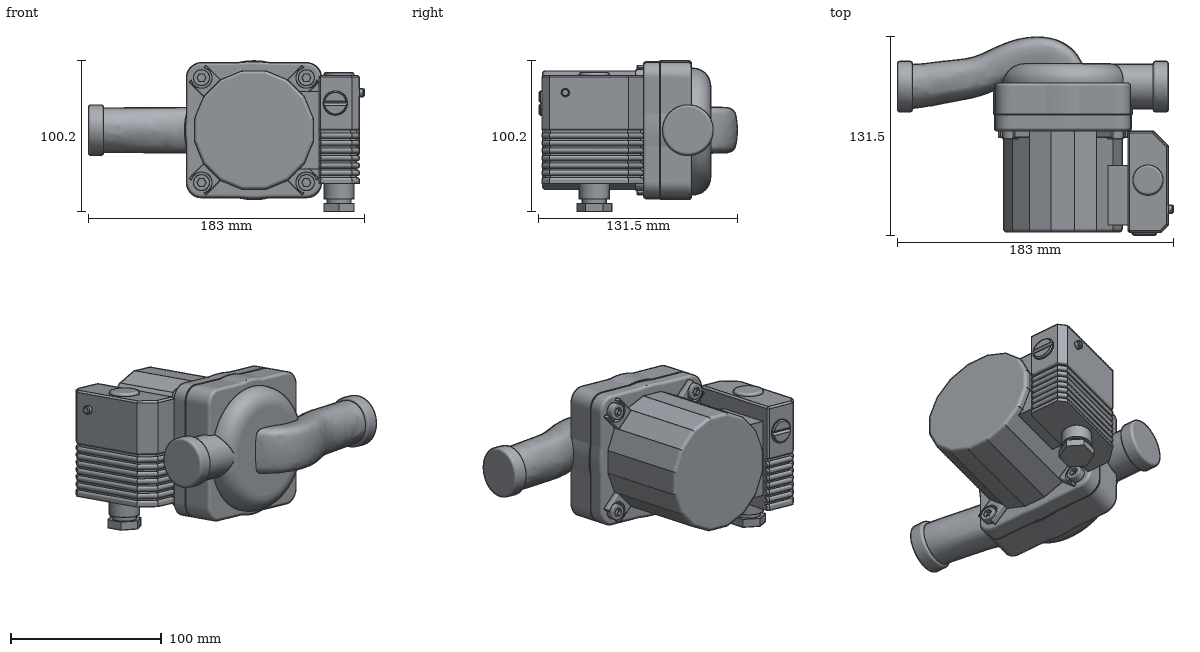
import cadquery as cq
import math


CASING_SIDE = 89.7
CASING_CORNER_RADIUS = 10.0
BULGE_HALF_WIDTH = 10.6
HOUSING_BULGE_HEIGHT = 1.3
FLANGE_BULGE_HEIGHT = 0.7
CASING_BACK_Y = 2.4
SPLIT_Y = -18.5
FLANGE_FACE_Y = -29.5
CASING_FILLET = 2.0
SPLIT_CHAMFER = 0.4

VOLUTE_RADIUS = 42.0
VOLUTE_X = 0.5
VOLUTE_Z = -1.0
VOLUTE_TOP_Y = 15.2
VOLUTE_FILLET = 11.9

INLET_END_X = -109.8
OUTLET_END_X = 69.9
COLLAR_RADIUS = 16.8
COLLAR_LENGTH = 10.0
COLLAR_FILLET = 1.8
PIPE_RADIUS = 14.8
ELBOW_HALF_WIDTH = 10.0
ELBOW_HALF_HEIGHT = 15.4
ROUND_EXPONENT = 2
ELBOW_EXPONENT = 5
SECTION_POINTS = 24
INLET_CURVE = [(-76.9, 3.3), (-54.9, 7.5), (-35.9, 16.7), (-17.0, 21.6), (-1.8, 17.4), (4.2, 9.2)]
INLET_CURVE_END = (5.9, 0.0)

MOTOR_SIDES = 16
MOTOR_ACROSS_FLATS = 78.7
MOTOR_FRONT_Y = -96.5
MOTOR_FILLET = 2.2
MOTOR_FACET_WIDTH = MOTOR_ACROSS_FLATS * math.tan(math.pi / MOTOR_SIDES)

BRIDGE_START_X = 29.3
BRIDGE_BACK_Y = -52.2
BRIDGE_FRONT_Y = -91.9
BRIDGE_HEIGHT = 51.2

HEX_SIDES = 6

BOLT_OFFSET = CASING_SIDE / 2 - CASING_CORNER_RADIUS
LUG_FACE_Y = -33.7
LUG_FILLET = 1.0
LUG_REACH_PAST_BOLT = 3.7
LUG_END_RADIUS = BOLT_OFFSET * math.sqrt(2) + LUG_REACH_PAST_BOLT
LUG_POCKET_RADIUS = 7.0
BOLT_HEAD_RADIUS = 5.3
BOLT_FACE_Y = -34.5
BOLT_FILLET = 0.5
BOLT_SOCKET_DIAMETER = 6.0
BOLT_SOCKET_DEPTH = 2.7

BOX_LEFT_X = 43.0
BOX_RIGHT_X = 69.9
BOX_BACK_Y = FLANGE_FACE_Y
BOX_FRONT_Y = -96.8
BOX_TOP_Z = 36.5
BOX_BOTTOM_Z = -35.3
BOX_BACK_BEVEL = 9.9
BOX_FRONT_BEVEL = 5.0
BOX_EDGE_CHAMFER = 1.3
BOX_LOWER_FILLET = 1.3

FIN_ZONE_TOP_Z = 0.0
FIN_DEPTH = 2.0
FIN_COUNT = 6
FIN_PITCH = 5.0
FIRST_FIN_Z = -3.7
FIN_THICKNESS = 3.7
FIN_FILLET = 1.6
BOX_FLOOR_THICKNESS = 3.8

KNOB_X = 54.0
KNOB_Z = 18.0
KNOB_RADIUS = 8.0
KNOB_HEIGHT = 1.8
KNOB_CHAMFER = 1.0
KNOB_SLOT_WIDTH = 3.0
KNOB_SLOT_DEPTH = 1.5

ENTRY_X = 56.4
ENTRY_Y = -62.0
ENTRY_RADIUS = 10.0
CAP_HEIGHT = 1.8
CAP_FILLET = 1.6
SLEEVE_BOTTOM_Z = -45.5
NECK_RADIUS = 8.0
NUT_TOP_Z = -48.5
NUT_BOTTOM_Z = -54.0
NUT_ACROSS_FLATS = 2 * ENTRY_RADIUS

SCREW_Y = -81.3
SCREW_Z = 24.9
SCREW_RADIUS = 2.7
SCREW_END_X = 73.2
SCREW_CHAMFER = 0.7


def disc(x, z, radius, back_y, front_y):
    """Round boss along the motor axis."""
    return cq.Workplane("XZ", origin=(x, back_y, z)).circle(radius).extrude(back_y - front_y)


def casing_block(bulge_height, back_y, front_y):
    """Square block with rounded corners and a shallow arched bulge on each side."""
    half_side = CASING_SIDE / 2
    depth = back_y - front_y
    block = cq.Workplane("XZ", origin=(0, back_y, 0)).rect(CASING_SIDE, CASING_SIDE).extrude(depth)
    block = block.edges("|Y").fillet(CASING_CORNER_RADIUS)
    bulge = (
        cq.Workplane("XZ", origin=(0, back_y, 0))
        .moveTo(-BULGE_HALF_WIDTH, half_side)
        .threePointArc((0, half_side + bulge_height), (BULGE_HALF_WIDTH, half_side))
        .lineTo(0, 0)
        .close()
        .extrude(depth)
    )
    for quarter_turns in range(4):
        block = block.union(bulge.rotate((0, 0, 0), (0, 1, 0), 90 * quarter_turns))
    return block


def collar(end_x, inward):
    """Closed pipe-end collar that runs from end_x in the inward direction along X."""
    return (
        cq.Workplane("YZ", origin=(end_x, 0, 0))
        .circle(COLLAR_RADIUS)
        .extrude(inward * COLLAR_LENGTH)
        .edges()
        .fillet(COLLAR_FILLET)
    )


def pipe_section(plane, half_width, half_height, exponent):
    """Closed superellipse; an exponent of 2 is a plain ellipse and higher ones square it off."""
    points = []
    for i in range(SECTION_POINTS):
        angle = 2 * math.pi * i / SECTION_POINTS - math.pi / 2
        across, up = math.cos(angle), math.sin(angle)
        radius = (abs(across) ** exponent + abs(up) ** exponent) ** (-1 / exponent)
        points.append((half_width * radius * across, half_height * radius * up))
    return cq.Workplane(plane).spline(points, periodic=True).wire().val()


def inlet_pipe():
    """Curved pipe over the volute, round at the collar and a flattened squarish oval at the eye."""
    start_x = INLET_END_X + COLLAR_LENGTH / 2
    path = cq.Workplane("XY").spline(
        [(start_x, 0), *INLET_CURVE, INLET_CURVE_END], tangents=[(1, 0), (0, -1)]
    )
    start_plane = cq.Plane(origin=(start_x, 0, 0), xDir=(0, 1, 0), normal=(1, 0, 0))
    end_plane = cq.Plane(origin=(*INLET_CURVE_END, 0), xDir=(1, 0, 0), normal=(0, -1, 0))
    round_end = pipe_section(start_plane, PIPE_RADIUS, PIPE_RADIUS, ROUND_EXPONENT)
    oval_end = pipe_section(end_plane, ELBOW_HALF_WIDTH, ELBOW_HALF_HEIGHT, ELBOW_EXPONENT)
    sections = cq.Workplane("XY").newObject([round_end, oval_end]).toPending()
    return sections.sweep(path, multisection=True)


def make_housing():
    """Casing with the volute dome, both pipes and their collars."""
    casing = casing_block(HOUSING_BULGE_HEIGHT, CASING_BACK_Y, SPLIT_Y)
    casing = casing.faces(">Y").edges().fillet(CASING_FILLET)
    casing = casing.faces("<Y").edges().chamfer(SPLIT_CHAMFER)
    volute = disc(VOLUTE_X, VOLUTE_Z, VOLUTE_RADIUS, VOLUTE_TOP_Y, SPLIT_Y)
    volute = volute.faces(">Y").edges().fillet(VOLUTE_FILLET)
    outlet_pipe = cq.Workplane("YZ").circle(PIPE_RADIUS).extrude(OUTLET_END_X - COLLAR_LENGTH / 2)
    housing = casing.union(volute).union(outlet_pipe).union(inlet_pipe())
    return housing.union(collar(INLET_END_X, 1)).union(collar(OUTLET_END_X, -1))


def corner_lugs():
    """Raised strips along the four diagonals, each with an open pocket for a bolt head."""
    strip = (
        cq.Workplane("XZ", origin=(0, FLANGE_FACE_Y, 0))
        .rect(2 * LUG_END_RADIUS, MOTOR_FACET_WIDTH)
        .extrude(FLANGE_FACE_Y - LUG_FACE_Y)
        .faces("<Y")
        .edges("|X")
        .fillet(LUG_FILLET)
    )
    axis_start, axis_end = (0, 0, 0), (0, 1, 0)
    lugs = strip.rotate(axis_start, axis_end, 45).union(strip.rotate(axis_start, axis_end, -45))
    for x, z in bolt_places():
        lugs = lugs.cut(disc(x, z, LUG_POCKET_RADIUS, FLANGE_FACE_Y, LUG_FACE_Y))
    return lugs


def make_motor():
    """Flange with its corner lugs, and the many-sided motor barrel."""
    flange = casing_block(FLANGE_BULGE_HEIGHT, SPLIT_Y, FLANGE_FACE_Y)
    flange = flange.faces("<Y").edges().fillet(CASING_FILLET)
    flange = flange.faces(">Y").edges().chamfer(SPLIT_CHAMFER)
    across_corners = MOTOR_ACROSS_FLATS / math.cos(math.pi / MOTOR_SIDES)
    barrel = (
        cq.Workplane("XZ", origin=(0, FLANGE_FACE_Y, 0))
        .transformed(rotate=(0, 0, 180 / MOTOR_SIDES))
        .polygon(MOTOR_SIDES, across_corners)
        .extrude(FLANGE_FACE_Y - MOTOR_FRONT_Y)
        .faces("<Y")
        .edges()
        .fillet(MOTOR_FILLET)
    )
    return flange.union(corner_lugs()).union(barrel)


def bolt_places():
    """X and Z of the four bolts, on the centres of the casing corner rounds."""
    return [(sx * BOLT_OFFSET, sz * BOLT_OFFSET) for sx in (-1, 1) for sz in (-1, 1)]


def make_bolt(x, z):
    """Socket-head bolt seated on the flange face."""
    head = disc(x, z, BOLT_HEAD_RADIUS, FLANGE_FACE_Y, BOLT_FACE_Y)
    head = head.faces("<Y").edges().fillet(BOLT_FILLET)
    socket = (
        cq.Workplane("XZ", origin=(x, BOLT_FACE_Y + BOLT_SOCKET_DEPTH, z))
        .polygon(HEX_SIDES, BOLT_SOCKET_DIAMETER)
        .extrude(BOLT_SOCKET_DEPTH)
    )
    return head.cut(socket)


def box_slab(inset, bottom_z, top_z):
    """Slab with the bevelled box outline, inset on every side but the one facing the motor."""
    left, right = BOX_LEFT_X, BOX_RIGHT_X - inset
    back, front = BOX_BACK_Y - inset, BOX_FRONT_Y + inset
    leg_loss = inset * (2 - math.sqrt(2))
    back_bevel = BOX_BACK_BEVEL - leg_loss
    front_bevel = BOX_FRONT_BEVEL - leg_loss
    outline = [
        (left, back),
        (right - back_bevel, back),
        (right, back - back_bevel),
        (right, front + front_bevel),
        (right - front_bevel, front),
        (left, front),
    ]
    slab = cq.Workplane("XY", origin=(0, 0, bottom_z)).polyline(outline).close().extrude(top_z - bottom_z)
    return slab.edges("|Z and <X and <Y").chamfer(BOX_EDGE_CHAMFER)


def knob():
    """Round knob with a V-shaped screwdriver slot across its face."""
    boss = disc(KNOB_X, KNOB_Z, KNOB_RADIUS, BOX_FRONT_Y, BOX_FRONT_Y - KNOB_HEIGHT)
    boss = boss.faces("<Y").edges().chamfer(KNOB_CHAMFER)
    face_y = BOX_FRONT_Y - KNOB_HEIGHT
    half_slot = KNOB_SLOT_WIDTH / 2
    groove = (
        cq.Workplane("YZ", origin=(KNOB_X, 0, KNOB_Z))
        .polyline([(face_y, half_slot), (face_y + KNOB_SLOT_DEPTH, 0), (face_y, -half_slot)])
        .close()
        .extrude(KNOB_RADIUS, both=True)
    )
    return boss.cut(groove)


def bridge(motor):
    """Block between box and motor, trimmed to lie flush on the motor facets."""
    block = (
        cq.Workplane("XZ", origin=(0, BRIDGE_BACK_Y, 0))
        .center((BRIDGE_START_X + BOX_LEFT_X) / 2, 0)
        .rect(BOX_LEFT_X - BRIDGE_START_X, BRIDGE_HEIGHT)
        .extrude(BRIDGE_BACK_Y - BRIDGE_FRONT_Y)
    )
    return block.cut(motor)


def make_terminal_box(motor):
    """Bevelled box with fins round its lower part, a blind cap, a knob and the bridge."""
    box = box_slab(0, FIN_ZONE_TOP_Z, BOX_TOP_Z)
    box = box.faces(">Z").edges().chamfer(BOX_EDGE_CHAMFER)
    box = box.faces("<Z").edges("not <X").fillet(BOX_LOWER_FILLET)
    box = box.union(box_slab(FIN_DEPTH, BOX_BOTTOM_Z, FIN_ZONE_TOP_Z))
    for i in range(FIN_COUNT):
        middle = FIRST_FIN_Z - i * FIN_PITCH
        fin = box_slab(0, middle - FIN_THICKNESS / 2, middle + FIN_THICKNESS / 2)
        fin = fin.faces("<Z or >Z").edges("not <X").fillet(FIN_FILLET)
        box = box.union(fin)
    floor = box_slab(0, BOX_BOTTOM_Z, BOX_BOTTOM_Z + BOX_FLOOR_THICKNESS)
    floor = floor.faces(">Z").edges("not <X").fillet(FIN_FILLET)
    box = box.union(floor)
    cap = cq.Workplane("XY", origin=(ENTRY_X, ENTRY_Y, BOX_TOP_Z)).circle(ENTRY_RADIUS).extrude(CAP_HEIGHT)
    cap = cap.faces(">Z").edges().fillet(CAP_FILLET)
    return box.union(cap).union(knob()).union(bridge(motor))


def make_gland():
    """Cable gland: sleeve, narrower neck and hexagonal nut."""
    sleeve = (
        cq.Workplane("XY", origin=(ENTRY_X, ENTRY_Y, SLEEVE_BOTTOM_Z))
        .circle(ENTRY_RADIUS)
        .extrude(BOX_BOTTOM_Z - SLEEVE_BOTTOM_Z)
    )
    neck = (
        cq.Workplane("XY", origin=(ENTRY_X, ENTRY_Y, NUT_TOP_Z))
        .circle(NECK_RADIUS)
        .extrude(SLEEVE_BOTTOM_Z - NUT_TOP_Z)
    )
    nut = (
        cq.Workplane("XY", origin=(ENTRY_X, ENTRY_Y, NUT_BOTTOM_Z))
        .transformed(rotate=(0, 0, 90))
        .polygon(HEX_SIDES, NUT_ACROSS_FLATS / math.cos(math.pi / HEX_SIDES))
        .extrude(NUT_TOP_Z - NUT_BOTTOM_Z)
    )
    return sleeve.union(neck).union(nut)


def make_cover_screw():
    """Small screw head on the side of the box."""
    return (
        cq.Workplane("YZ", origin=(BOX_RIGHT_X, SCREW_Y, SCREW_Z))
        .circle(SCREW_RADIUS)
        .extrude(SCREW_END_X - BOX_RIGHT_X)
        .faces(">X")
        .edges()
        .chamfer(SCREW_CHAMFER)
    )


housing = make_housing()
motor = make_motor()
bolts = [make_bolt(x, z) for x, z in bolt_places()]
terminal_box = make_terminal_box(motor)
gland = make_gland()
cover_screw = make_cover_screw()

result = cq.Compound.makeCompound(
    [
        housing.val(),
        motor.val(),
        *[bolt.val() for bolt in bolts],
        terminal_box.val(),
        gland.val(),
        cover_screw.val(),
    ]
)